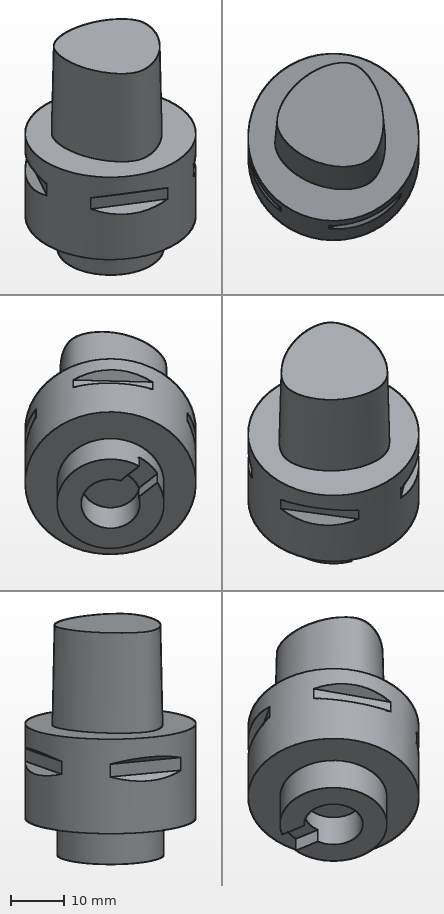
import cadquery as cq
import math

total_height = 44.0
collar_height = 18.0
spigot_height = 7.0
shank_height = total_height - collar_height - spigot_height

shank_base_width = 20.7
shank_tip_width = 19.9
lobe_height = 0.7
lobe_count = 3
points_per_lobe = 12

collar_diameter = 32.0
groove_center_z = -6.0
groove_floor_height = 2.4
groove_floor_distance = 14.15
groove_flank_angle = 30.0
groove_count = 4
first_groove_angle = 45.0

spigot_diameter = 20.0
bore_diameter = 11.0
slot_width = 5.0
slot_height = 3.0

spigot_bottom_z = -collar_height - spigot_height


def lobed_point(width, angle):
    """Point of the three-lobed curve whose normal lies at angle from -Y."""
    support = width / 2 - lobe_height * math.cos(lobe_count * angle)
    slope = lobe_count * lobe_height * math.sin(lobe_count * angle)
    x = support * math.sin(angle) + slope * math.cos(angle)
    y = -support * math.cos(angle) + slope * math.sin(angle)
    return cq.Vector(x, y, 0)


def lobed_outline(width, z):
    """Closed, smooth three-lobed outline at height z."""
    point_count = lobe_count * points_per_lobe
    points = [lobed_point(width, 2 * math.pi * i / point_count) for i in range(point_count)]
    edge = cq.Edge.makeSpline(points, periodic=True)
    return cq.Wire.assembleEdges([edge]).translate(cq.Vector(0, 0, z))


def make_shank():
    base = lobed_outline(shank_base_width, 0)
    tip = lobed_outline(shank_tip_width, shank_height)
    return cq.Workplane(cq.Solid.makeLoft([base, tip], True))


def groove_cutter(angle):
    """Straight trapezoidal bar that widens outward from the groove floor."""
    collar_radius = collar_diameter / 2
    depth = collar_radius - groove_floor_distance
    floor_half = groove_floor_height / 2
    mouth_half = floor_half + depth * math.tan(math.radians(groove_flank_angle))
    section = [
        (groove_floor_distance, groove_center_z - floor_half),
        (collar_radius, groove_center_z - mouth_half),
        (collar_radius, groove_center_z + mouth_half),
        (groove_floor_distance, groove_center_z + floor_half),
    ]
    bar = cq.Workplane("XZ").polyline(section).close().extrude(collar_radius, both=True)
    return bar.rotate((0, 0, 0), (0, 0, 1), angle)


def make_holder():
    """Shank and grooved collar in one piece."""
    collar = cq.Workplane("XY").circle(collar_diameter / 2).extrude(-collar_height)
    for i in range(groove_count):
        collar = collar.cut(groove_cutter(first_groove_angle + i * 360 / groove_count))
    return collar.union(make_shank())


def make_spigot():
    """Ring below the collar, slotted through its wall on the -X side."""
    ring = (
        cq.Workplane("XY")
        .workplane(offset=spigot_bottom_z)
        .circle(spigot_diameter / 2)
        .circle(bore_diameter / 2)
        .extrude(spigot_height)
    )
    slot = (
        cq.Workplane("XY")
        .box(spigot_diameter / 2, slot_width, slot_height, centered=(False, True, False))
        .translate((-spigot_diameter / 2, 0, spigot_bottom_z))
    )
    return ring.cut(slot)


holder = make_holder()
spigot = make_spigot()
result = cq.Compound.makeCompound([holder.solids().val(), spigot.solids().val()])